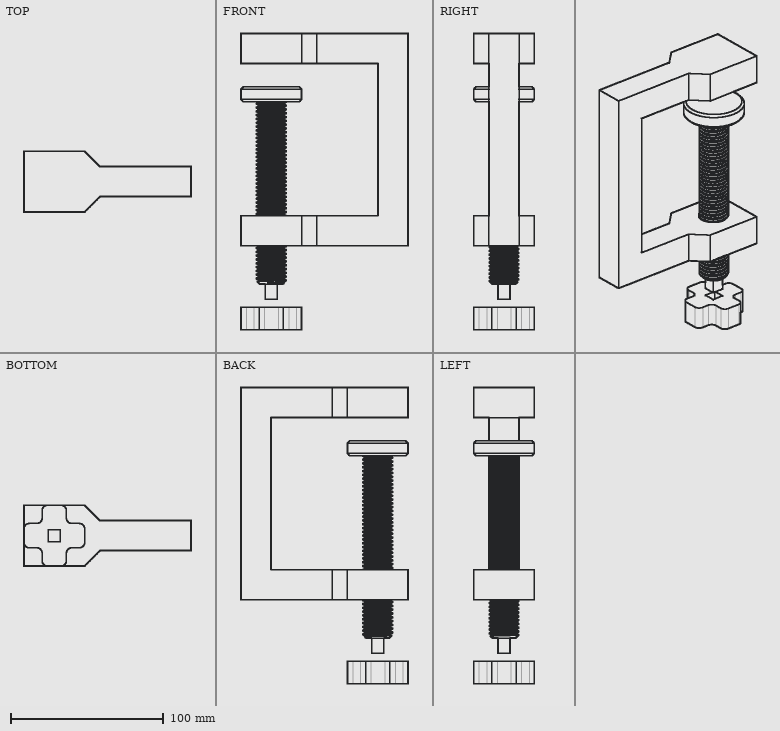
import cadquery as cq
import math


FRAME_LENGTH = 110.0
FRAME_TOP = 195.0
FRAME_HEIGHT = 139.8
FRAME_BOTTOM = FRAME_TOP - FRAME_HEIGHT
BAR = 19.9
PAD_SIZE = 40.0
TAPER_LENGTH = (PAD_SIZE - BAR) / 2
FRAME_LEFT = -PAD_SIZE / 2
FRAME_RIGHT = FRAME_LEFT + FRAME_LENGTH

HEAD_DIAMETER = 40.0
HEAD_THICKNESS = 10.0
HEAD_CHAMFER = 1.5
HEAD_BOTTOM = 150.0
THREAD_BOTTOM = 30.0
THREAD_LENGTH = HEAD_BOTTOM - THREAD_BOTTOM
THREAD_TURNS = 48
PITCH = THREAD_LENGTH / THREAD_TURNS
ROOT_DIAMETER = 17.0
CREST_DIAMETER = 19.5
CREST_WIDTH = PITCH / 8
FLANK_ANGLE = math.radians(30)
ROOT_OVERLAP = 0.2
THREAD_MARGIN = 2.0
END_CHAMFER = 2.1
TANG_SIZE = 8.0
TANG_BOTTOM = 20.0

HOLE_ROOT_DIAMETER = 17.5
HOLE_CREST_DIAMETER = 20.3
HOLE_CREST_WIDENING = 0.2

KNOB_SIZE = 40.0
KNOB_THICKNESS = 15.0
LOBE_WIDTH = 16.0
LOBE_CORNER_RADIUS = 3.5
NOTCH_RADIUS = 3.5



def cylinder(diameter, bottom, top):
    return cq.Workplane("XY", origin=(0, 0, bottom)).circle(diameter / 2).extrude(top - bottom)


def square_bar(size, bottom, top):
    return cq.Workplane("XY", origin=(0, 0, bottom)).rect(size, size).extrude(top - bottom)


def threaded_rod(root_diameter, crest_diameter, crest_width, start, turns):
    """Right-hand threaded rod whose ridge runs from height `start` over a number of turns."""
    base = root_diameter / 2 - ROOT_OVERLAP
    crest = crest_diameter / 2
    half_crest = crest_width / 2
    half_base = half_crest + (crest - base) * math.tan(FLANK_ANGLE)
    top = start + turns * PITCH
    helix = cq.Wire.makeHelix(PITCH, turns * PITCH, base, center=cq.Vector(0, 0, start))
    ridge = (
        cq.Workplane("XZ", origin=(0, 0, start))
        .polyline([(base, -half_base), (crest, -half_crest), (crest, half_crest), (base, half_base)])
        .close()
        .sweep(cq.Workplane(helix), isFrenet=True)
    )
    return cylinder(root_diameter, start - PITCH, top + PITCH).union(ridge, clean=False)


def make_frame():
    c_shape = (
        cq.Workplane("XZ")
        .moveTo(FRAME_LEFT, FRAME_BOTTOM)
        .lineTo(FRAME_RIGHT, FRAME_BOTTOM)
        .lineTo(FRAME_RIGHT, FRAME_TOP)
        .lineTo(FRAME_LEFT, FRAME_TOP)
        .lineTo(FRAME_LEFT, FRAME_TOP - BAR)
        .lineTo(FRAME_RIGHT - BAR, FRAME_TOP - BAR)
        .lineTo(FRAME_RIGHT - BAR, FRAME_BOTTOM + BAR)
        .lineTo(FRAME_LEFT, FRAME_BOTTOM + BAR)
        .close()
        .extrude(PAD_SIZE / 2, both=True)
    )
    pad_right = FRAME_LEFT + PAD_SIZE
    plan = (
        cq.Workplane("XY", origin=(0, 0, FRAME_BOTTOM))
        .moveTo(FRAME_LEFT, -PAD_SIZE / 2)
        .lineTo(pad_right, -PAD_SIZE / 2)
        .lineTo(pad_right + TAPER_LENGTH, -BAR / 2)
        .lineTo(FRAME_RIGHT, -BAR / 2)
        .lineTo(FRAME_RIGHT, BAR / 2)
        .lineTo(pad_right + TAPER_LENGTH, BAR / 2)
        .lineTo(pad_right, PAD_SIZE / 2)
        .lineTo(FRAME_LEFT, PAD_SIZE / 2)
        .close()
        .extrude(FRAME_TOP - FRAME_BOTTOM)
    )
    turns_below_arm = math.floor((FRAME_BOTTOM - THREAD_BOTTOM) / PITCH) - 1
    hole = threaded_rod(
        HOLE_ROOT_DIAMETER,
        HOLE_CREST_DIAMETER,
        CREST_WIDTH + HOLE_CREST_WIDENING,
        THREAD_BOTTOM + turns_below_arm * PITCH,
        math.ceil(BAR / PITCH) + 2,
    )
    return c_shape.intersect(plan).cut(hole, clean=False)


def make_screw():
    envelope = (
        cylinder(CREST_DIAMETER + THREAD_MARGIN, THREAD_BOTTOM, HEAD_BOTTOM)
        .faces("<Z")
        .chamfer(END_CHAMFER + THREAD_MARGIN / 2)
    )
    thread = threaded_rod(
        ROOT_DIAMETER, CREST_DIAMETER, CREST_WIDTH, THREAD_BOTTOM - PITCH, THREAD_TURNS + 2
    ).intersect(envelope, clean=False)
    head = cylinder(HEAD_DIAMETER, HEAD_BOTTOM, HEAD_BOTTOM + HEAD_THICKNESS).edges().chamfer(HEAD_CHAMFER)
    tang = square_bar(TANG_SIZE, TANG_BOTTOM, THREAD_BOTTOM)
    return thread.union(head, clean=False).union(tang, clean=False)


def make_knob():
    lobe_pair = cq.Workplane("XY").rect(KNOB_SIZE, LOBE_WIDTH).extrude(KNOB_THICKNESS)
    cross = lobe_pair.union(lobe_pair.rotate((0, 0, 0), (0, 0, 1), 90))
    notch_corner = cq.selectors.BoxSelector(
        (-LOBE_WIDTH, -LOBE_WIDTH, 0),
        (LOBE_WIDTH, LOBE_WIDTH, KNOB_THICKNESS),
    )
    knob = cross.edges("|Z").edges(notch_corner).fillet(NOTCH_RADIUS)
    for side in (">X", "<X", ">Y", "<Y"):
        knob = knob.faces(side).edges("|Z").fillet(LOBE_CORNER_RADIUS)
    socket = square_bar(TANG_SIZE, 0, KNOB_THICKNESS)
    return knob.cut(socket)


frame = make_frame()
screw = make_screw()
knob = make_knob()

result = cq.Compound.makeCompound([frame.solids().val(), screw.solids().val(), knob.solids().val()])